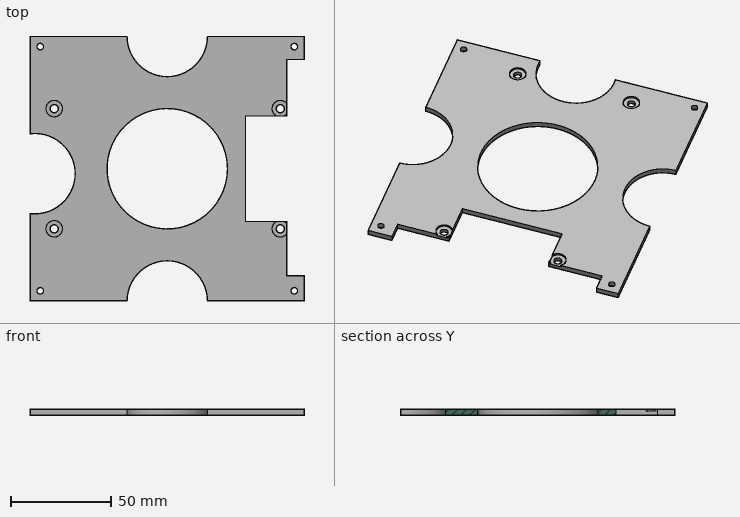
import cadquery as cq

length = 137.0
width = 132.0
thickness = 3.0

centre_opening_diameter = 60.0
scallop_radius = 20.0
side_scallop_inset = 2.5
side_scallop_y = -2.5

edge_recess_depth = 8.8
upper_tab_width = 11.5
lower_tab_width = 12.6
notch_depth = 29.3
notch_width = 52.6

corner_hole_diameter = 3.2
corner_hole_inset = 5.1

screw_hole_diameter = 4.0
counterbore_diameter = 8.2
counterbore_depth = 1.0
screw_spacing_x = 112.9
screw_spacing_y = 60.0

right_edge = length / 2
top_edge = width / 2


def plate_outline():
    """Rectangular plate with its +X side stepped in twice between two tabs."""
    recess_x = right_edge - edge_recess_depth
    notch_x = right_edge - notch_depth
    recess_top = top_edge - upper_tab_width
    recess_bottom = -top_edge + lower_tab_width
    half_notch = notch_width / 2
    points = [
        (-right_edge, -top_edge),
        (right_edge, -top_edge),
        (right_edge, recess_bottom),
        (recess_x, recess_bottom),
        (recess_x, -half_notch),
        (notch_x, -half_notch),
        (notch_x, half_notch),
        (recess_x, half_notch),
        (recess_x, recess_top),
        (right_edge, recess_top),
        (right_edge, top_edge),
        (-right_edge, top_edge),
    ]
    return cq.Workplane("XY").polyline(points).close().extrude(thickness)


def round_cutters(centres, radius, base_z=0.0):
    """Vertical cylinders reaching from base_z to the top of the plate."""
    return (
        cq.Workplane("XY", origin=(0, 0, base_z))
        .pushPoints(centres)
        .circle(radius)
        .extrude(thickness - base_z)
    )


def rectangle_corners(spacing_x, spacing_y):
    """Corner points of a rectangle centred on the origin."""
    return [(sx * spacing_x / 2, sy * spacing_y / 2) for sx in (-1, 1) for sy in (-1, 1)]


scallop_centres = [
    (0, top_edge),
    (0, -top_edge),
    (-right_edge + side_scallop_inset, side_scallop_y),
]
corner_holes = rectangle_corners(length - 2 * corner_hole_inset, width - 2 * corner_hole_inset)
screw_holes = rectangle_corners(screw_spacing_x, screw_spacing_y)
counterbore_floor = thickness - counterbore_depth

result = (
    plate_outline()
    .cut(round_cutters([(0, 0)], centre_opening_diameter / 2))
    .cut(round_cutters(scallop_centres, scallop_radius))
    .cut(round_cutters(corner_holes, corner_hole_diameter / 2))
    .cut(round_cutters(screw_holes, screw_hole_diameter / 2))
    .cut(round_cutters(screw_holes, counterbore_diameter / 2, counterbore_floor))
)